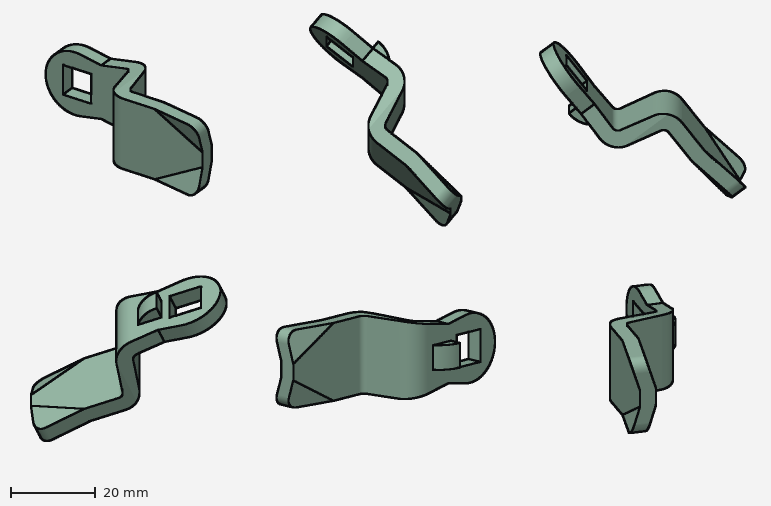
import cadquery as cq
import math

length = 54.0
width = 19.0
thickness = 4.0
offset = 14.0

head_radius = 8.5
hole_size = 8.0
hole_shift = 0.5
neck_x = 7.4
neck_angle = math.radians(10.5)

inner_bend = 1.5
outer_bend = inner_bend + thickness
bend_start_x = 14.35
web_lean = math.radians(12.6)

stop_x = 6.55
stop_length = 6.0
stop_width = 6.0
stop_height = 3.0

corner_radius = 3.0
fold_length = 13.65
fold_gap = 4.0
ear_drop = 2.0

end_x = length - head_radius
half_width = width / 2
blade_back = -offset
blade_front = blade_back - thickness
fold_start_x = end_x - fold_length
fold_rise = (width - fold_gap) / 2


def polar(centre, radius, angle):
    """Point at the given angle on a circle."""
    return (centre[0] + radius * math.cos(angle), centre[1] + radius * math.sin(angle))


def crank_strip():
    """Double-bent strip of full width, with straight sides."""
    drop = offset + thickness - 2 * outer_bend
    centre_gap = inner_bend + outer_bend
    web_length = (drop + centre_gap * math.sin(web_lean)) / math.cos(web_lean)
    bend_run = web_length * math.sin(web_lean) + centre_gap * math.cos(web_lean)
    upper = (bend_start_x, -outer_bend)
    lower = (bend_start_x + bend_run, blade_front + outer_bend)
    upper_mid = (math.pi / 2 + web_lean) / 2
    lower_mid = upper_mid + math.pi
    lower_end = math.pi + web_lean
    return (
        cq.Workplane("XY")
        .moveTo(-head_radius, 0)
        .lineTo(upper[0], 0)
        .threePointArc(polar(upper, outer_bend, upper_mid), polar(upper, outer_bend, web_lean))
        .lineTo(*polar(lower, inner_bend, lower_end))
        .threePointArc(polar(lower, inner_bend, lower_mid), (lower[0], blade_back))
        .lineTo(end_x, blade_back)
        .lineTo(end_x, blade_front)
        .lineTo(lower[0], blade_front)
        .threePointArc(polar(lower, outer_bend, lower_mid), polar(lower, outer_bend, lower_end))
        .lineTo(*polar(upper, inner_bend, web_lean))
        .threePointArc(polar(upper, inner_bend, upper_mid), (upper[0], -thickness))
        .lineTo(-head_radius, -thickness)
        .close()
        .extrude(half_width, both=True)
    )


def planform():
    """Face outline in XZ, extruded through the whole depth."""
    tangent_x = head_radius * math.sin(neck_angle)
    tangent_z = head_radius * math.cos(neck_angle)
    slope = math.tan(neck_angle)
    neck_z = tangent_z - (neck_x - tangent_x) * slope
    shoulder_x = neck_x + (half_width - neck_z) / slope
    return (
        cq.Workplane("XZ")
        .moveTo(tangent_x, tangent_z)
        .lineTo(neck_x, neck_z)
        .lineTo(shoulder_x, half_width)
        .lineTo(end_x, half_width)
        .lineTo(end_x, -half_width)
        .lineTo(shoulder_x, -half_width)
        .lineTo(neck_x, -neck_z)
        .lineTo(tangent_x, -tangent_z)
        .threePointArc((-head_radius, 0), (tangent_x, tangent_z))
        .close()
        .extrude(2 * length, both=True)
        .edges("|Y and >X")
        .fillet(corner_radius)
    )


def fold_zone():
    """Triangular prism over the upper folded corner of the blade."""
    return (
        cq.Workplane("XZ", origin=(0, blade_back, 0))
        .moveTo(fold_start_x, half_width)
        .lineTo(end_x, half_width)
        .lineTo(end_x, half_width - fold_rise)
        .close()
        .extrude(thickness)
    )


def ear():
    """Sloping slab that drops away from the fold line at the upper corner."""
    fold_line = math.hypot(fold_length, fold_rise)
    away = (fold_rise / fold_line, fold_length / fold_line)
    centre_x = fold_length - corner_radius
    reach = centre_x * away[0] - corner_radius * away[1] + corner_radius
    slab_reach = fold_length * away[0]
    slab_drop = ear_drop * slab_reach / reach
    section = cq.Plane(
        origin=(fold_start_x, blade_back, half_width),
        xDir=(away[0], 0, away[1]),
        normal=(away[1], 0, -away[0]),
    )
    return (
        cq.Workplane(section)
        .moveTo(0, 0)
        .lineTo(slab_reach, slab_drop)
        .lineTo(slab_reach, slab_drop + thickness)
        .lineTo(0, thickness)
        .close()
        .extrude(fold_line)
    )


def stop():
    """Quarter-round stop: square face toward the head, arc running down to the plate."""
    radius = (stop_length**2 + stop_height**2) / (2 * stop_height)
    centre = (stop_x, stop_height - radius)
    end_angle = math.asin((radius - stop_height) / radius)
    return (
        cq.Workplane("XY")
        .moveTo(stop_x, -thickness / 2)
        .lineTo(stop_x, stop_height)
        .threePointArc(
            polar(centre, radius, (math.pi / 2 + end_angle) / 2),
            (stop_x + stop_length, 0),
        )
        .lineTo(stop_x + stop_length, -thickness / 2)
        .close()
        .extrude(stop_width / 2, both=True)
    )


upper_zone = fold_zone()
upper_ear = ear()
body = crank_strip().cut(upper_zone).cut(upper_zone.mirror("XY"))
body = body.union(upper_ear).union(upper_ear.mirror("XY"))
body = body.intersect(planform())
hole = cq.Workplane("XY").box(hole_size, 4 * thickness, hole_size)
hole = hole.translate((hole_shift, 0, 0))
result = body.union(stop()).cut(hole)